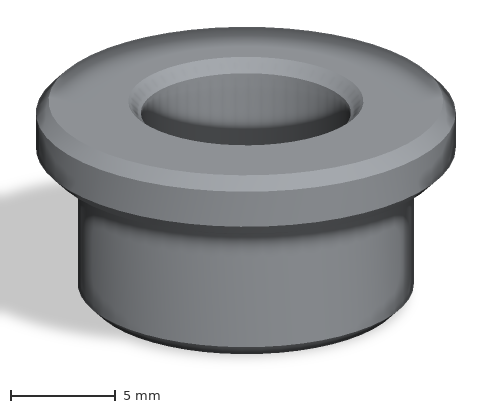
import cadquery as cq

flange_diameter = 20.0
sleeve_diameter = 16.0
bore_diameter = 10.0
total_height = 10.0
flange_thickness = 3.0
edge_break = 0.6

sleeve_height = total_height - flange_thickness


def make_sleeve():
    sleeve = cq.Workplane("XY").circle(sleeve_diameter / 2).extrude(total_height)
    return sleeve.faces("<Z").edges().chamfer(edge_break)


def make_flange():
    flange = (
        cq.Workplane("XY")
        .workplane(offset=sleeve_height)
        .circle(flange_diameter / 2)
        .extrude(flange_thickness)
    )
    return flange.faces("<Z or >Z").edges().chamfer(edge_break)


def fillet_under_flange(body):
    """Round the inner corner where the sleeve meets the flange underside."""
    corner = cq.selectors.RadiusNthSelector(0)
    underside = body.faces(cq.selectors.NearestToPointSelector((0, 0, sleeve_height)))
    return underside.edges(corner).fillet(edge_break)


def cut_bore(body):
    """Cut the through bore and chamfer its upper rim."""
    bored = body.faces(">Z").workplane().hole(bore_diameter)
    rim = cq.selectors.RadiusNthSelector(0)
    return bored.faces(">Z").edges(rim).chamfer(edge_break)


bushing = make_sleeve().union(make_flange())
bushing = fillet_under_flange(bushing)
result = cut_bore(bushing)